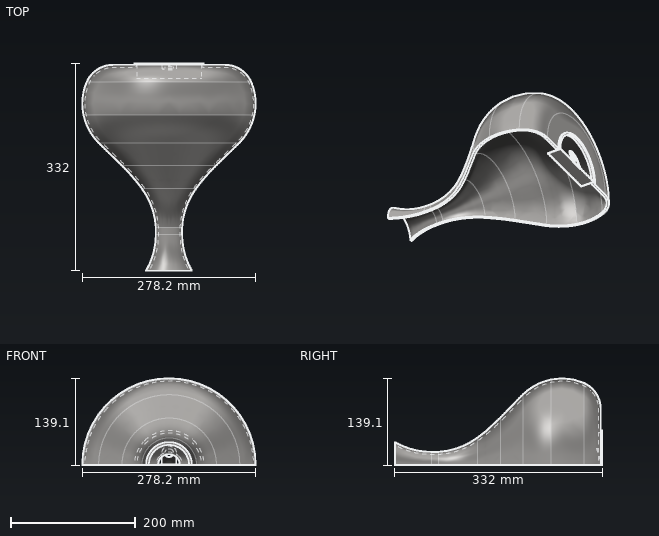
import cadquery as cq

LENGTH = 332.0
WALL = 4.0
FOOT_RADIUS = 55.8
FOOT_HEIGHT = 2.0
MOUTH_RADIUS = 37.0

BACK_Y = LENGTH - FOOT_HEIGHT
BACK_EDGE = (89.5, BACK_Y)
SHOULDER = (131.8, 302.5)
BELLY = (137.0, 249.5)
CONE_TOP = (113.2, 205.2)
CONE_BOTTOM = (75.7, 168.5)
FLARE = (43.8, 132.0)
THROAT_RADIUS = 21.2
THROAT_TOP = (THROAT_RADIUS, 69.5)
THROAT_BOTTOM = (THROAT_RADIUS, 58.0)

SHEET = 1.0
TAB_WIDTH = 23.5
TAB_LEAN = 17.0
TAB_HOLE_RADIUS = 7.0
TAB_HOLE_HEIGHT = 20.5
STRIP_DEPTH = TAB_WIDTH
BORE_RADIUS = FOOT_RADIUS - WALL


def make_housing():
    """Half revolve of the vase profile, hollowed and open at mouth, foot and bottom."""
    profile = (
        cq.Workplane("XY")
        .moveTo(0, LENGTH)
        .lineTo(FOOT_RADIUS, LENGTH)
        .lineTo(FOOT_RADIUS, BACK_Y)
        .lineTo(*BACK_EDGE)
        .tangentArcPoint(SHOULDER, relative=False)
        .tangentArcPoint(BELLY, relative=False)
        .tangentArcPoint(CONE_TOP, relative=False)
        .lineTo(*CONE_BOTTOM)
        .tangentArcPoint(FLARE, relative=False)
        .tangentArcPoint(THROAT_TOP, relative=False)
        .lineTo(*THROAT_BOTTOM)
        .tangentArcPoint((MOUTH_RADIUS, 0), relative=False)
        .lineTo(0, 0)
        .close()
    )
    half_vase = profile.revolve(180, (0, 0, 0), (0, -1, 0))
    return half_vase.faces("<Y or >Y or <Z").shell(-WALL)


def make_bracket():
    """Strip that fits the foot bore, with a round-ended, drilled tab rising from its rear edge."""
    strip = (
        cq.Workplane("XY")
        .box(2 * BORE_RADIUS, STRIP_DEPTH, SHEET, centered=(True, False, False))
        .translate((0, LENGTH - STRIP_DEPTH, 0))
    )
    bore = cq.Workplane("XZ").circle(BORE_RADIUS).extrude(-LENGTH)
    strip = strip.intersect(bore)

    half_width = TAB_WIDTH / 2
    tab = (
        cq.Workplane("XZ")
        .moveTo(-half_width, 0)
        .lineTo(half_width, 0)
        .lineTo(half_width, TAB_HOLE_HEIGHT)
        .threePointArc((0, TAB_HOLE_HEIGHT + half_width), (-half_width, TAB_HOLE_HEIGHT))
        .close()
        .moveTo(0, TAB_HOLE_HEIGHT)
        .circle(TAB_HOLE_RADIUS)
        .extrude(SHEET)
        .rotate((0, 0, 0), (1, 0, 0), TAB_LEAN)
        .translate((0, LENGTH, 0))
    )
    above_bottom = cq.Workplane("XY").box(
        TAB_WIDTH, LENGTH, LENGTH, centered=(True, False, False)
    )
    return strip.union(tab.intersect(above_bottom))


housing = make_housing()
bracket = make_bracket()
result = cq.Compound.makeCompound([housing.val(), bracket.val()])